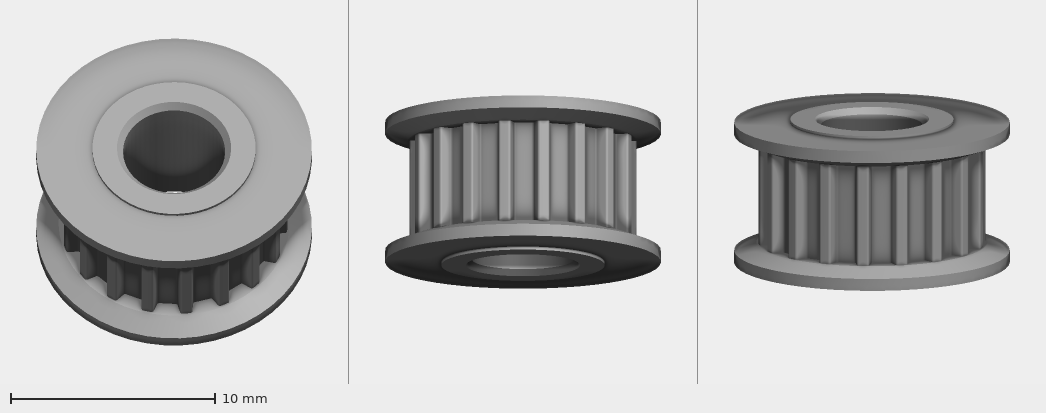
import cadquery as cq
import math

outer_diameter = 13.5
overall_height = 7.3

tooth_count = 18
tooth_length = 5.0
tip_radius = 5.56
root_distance = 4.94
root_half_width = 0.47
flank_angle = 20.0
root_fillet = 0.12
tip_fillet = 0.12

rim_height = 0.6
cone_height = 0.4
cone_inner_radius = 5.65

hub_diameter = 7.99
bore_diameter = 5.0
bore_chamfer = 0.3

outer_radius = outer_diameter / 2
half_height = overall_height / 2
half_tooth_length = tooth_length / 2
flange_face = half_tooth_length + cone_height + rim_height
pitch_angle = 360.0 / tooth_count


def groove_half_profile():
    """Points of the +X half of a groove centred on +Y, from floor to tip circle."""
    angle = math.radians(flank_angle)
    along = (math.sin(angle), math.cos(angle))
    into = (math.cos(angle), -math.sin(angle))

    setback = root_fillet * math.tan((math.pi / 2 - angle) / 2)
    floor_end = (root_half_width - setback, root_distance)
    root_center = (floor_end[0], root_distance + root_fillet)
    root_mid_angle = angle + (math.pi / 2 - angle) / 2
    root_mid = (
        root_center[0] + root_fillet * math.cos(root_mid_angle),
        root_center[1] - root_fillet * math.sin(root_mid_angle),
    )
    flank_start = (
        root_half_width + setback * along[0],
        root_distance + setback * along[1],
    )

    base_x = root_half_width + tip_fillet * into[0]
    base_y = root_distance + tip_fillet * into[1]
    center_radius = tip_radius - tip_fillet
    projection = base_x * along[0] + base_y * along[1]
    excess = base_x**2 + base_y**2 - center_radius**2
    rise = math.sqrt(projection**2 - excess) - projection
    tip_center = (base_x + rise * along[0], base_y + rise * along[1])
    flank_end = (
        tip_center[0] - tip_fillet * into[0],
        tip_center[1] - tip_fillet * into[1],
    )
    start_angle = math.pi - angle
    end_angle = math.atan2(tip_center[1], tip_center[0])
    tip_mid_angle = (start_angle + end_angle) / 2
    tip_mid = (
        tip_center[0] + tip_fillet * math.cos(tip_mid_angle),
        tip_center[1] + tip_fillet * math.sin(tip_mid_angle),
    )
    tip_end = (
        tip_radius * math.cos(end_angle),
        tip_radius * math.sin(end_angle),
    )
    return floor_end, root_mid, flank_start, flank_end, tip_mid, tip_end


def rotated(point, degrees):
    """Turn a point about the axis."""
    turn = math.radians(degrees)
    x, y = point
    return (
        x * math.cos(turn) - y * math.sin(turn),
        x * math.sin(turn) + y * math.cos(turn),
    )


def mirrored(point):
    """Reflect a point across the groove centreline."""
    return (-point[0], point[1])


def toothed_drum():
    """Drum with a groove centred on +Y and on -Y, running between the flanges."""
    half = groove_half_profile()
    floor_end, root_mid, flank_start, flank_end, tip_mid, tip_end = half
    outline = cq.Workplane("XY").workplane(offset=-half_tooth_length)
    outline = outline.moveTo(*mirrored(floor_end))
    for index in range(tooth_count):
        here = -index * pitch_angle
        following = here - pitch_angle
        outline = (
            outline.lineTo(*rotated(floor_end, here))
            .threePointArc(rotated(root_mid, here), rotated(flank_start, here))
            .lineTo(*rotated(flank_end, here))
            .threePointArc(rotated(tip_mid, here), rotated(tip_end, here))
            .threePointArc(
                rotated((0, tip_radius), here - pitch_angle / 2),
                rotated(mirrored(tip_end), following),
            )
            .threePointArc(
                rotated(mirrored(tip_mid), following),
                rotated(mirrored(flank_end), following),
            )
            .lineTo(*rotated(mirrored(flank_start), following))
            .threePointArc(
                rotated(mirrored(root_mid), following),
                rotated(mirrored(floor_end), following),
            )
        )
    return outline.close().extrude(tooth_length)


def upper_flange():
    """Flange with a conical inner side and a low hub face on its outer side."""
    profile = [
        (0, half_tooth_length),
        (cone_inner_radius, half_tooth_length),
        (outer_radius, half_tooth_length + cone_height),
        (outer_radius, flange_face),
        (hub_diameter / 2, flange_face),
        (hub_diameter / 2, half_height),
        (0, half_height),
    ]
    return cq.Workplane("XZ").polyline(profile).close().revolve(360, (0, 0), (0, 1))


def bore():
    """Through bore with a 45 degree chamfer at both ends."""
    radius = bore_diameter / 2
    mouth_radius = radius + bore_chamfer
    chamfer_start = half_height - bore_chamfer
    profile = [
        (0, -half_height),
        (mouth_radius, -half_height),
        (radius, -chamfer_start),
        (radius, chamfer_start),
        (mouth_radius, half_height),
        (0, half_height),
    ]
    return cq.Workplane("XZ").polyline(profile).close().revolve(360, (0, 0), (0, 1))


flange = upper_flange()
result = toothed_drum().union(flange).union(flange.mirror("XY")).cut(bore())